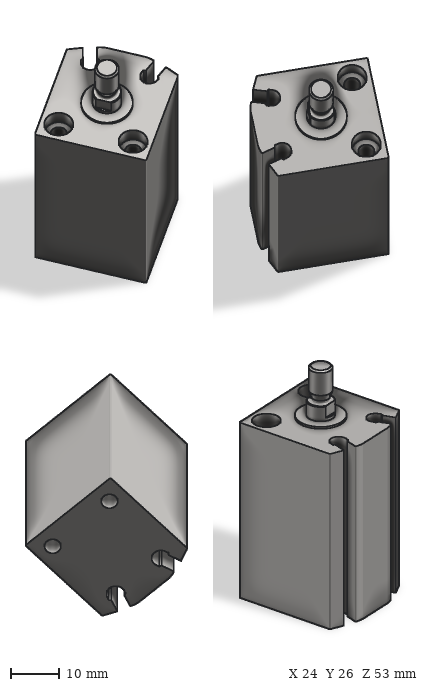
import cadquery as cq
import math

total_height = 53.0
width = 24.0
depth = 26.0
housing_height = 41.0
half_width = width / 2
front_y = -half_width
back_y = front_y + depth

front_corner_radius = 0.3
back_flat_half_width = 4.25
back_arc_end = (6.35, 13.45)
back_arc_sag = 0.1
shoulder_inner = (8.9, 12.65)
shoulder_outer_y = 11.3
shoulder_corner_radius = 0.35

collar_diameter = 10.7
collar_height = 0.5

hole_diameter = 3.4
counterbore_diameter = 6.0
counterbore_depth = 3.2
hole_offset = 8.0

slot_center = (6.35, 9.35)
slot_tilt = 17.8
slot_width = 3.8
slot_mouth_width = 2.9
slot_straight = 0.7
slot_bevel = 0.3
slot_length = 7.4
slot_lip = (6.1, 13.4)
slot_lip_radius = 0.25

rod_diameter = 6.0
rod_bottom = housing_height + collar_height
rod_shoulder_top = 45.0
rod_shoulder_chamfer = 0.15
across_flats = 5.0
flats_bottom = 42.25
neck_diameter = 3.8
neck_flare = 0.3
neck_top = 45.75
tip_diameter = 5.0
tip_top_diameter = 4.15
tip_bottom = 47.3
tip_chamfer = (tip_diameter - tip_top_diameter) / 2


def housing_blank():
    """Prism with a raised back, sloped back shoulders and a round collar on top."""
    arc_end_x, arc_end_y = back_arc_end
    arc_mid_x = (back_flat_half_width + arc_end_x) / 2
    arc_mid_y = (back_y + arc_end_y) / 2 + back_arc_sag
    inner_x, inner_y = shoulder_inner
    blank = (
        cq.Workplane("XY")
        .moveTo(-half_width, front_y)
        .lineTo(half_width, front_y)
        .lineTo(half_width, shoulder_outer_y)
        .lineTo(inner_x, inner_y)
        .lineTo(arc_end_x, arc_end_y)
        .threePointArc((arc_mid_x, arc_mid_y), (back_flat_half_width, back_y))
        .lineTo(-back_flat_half_width, back_y)
        .threePointArc((-arc_mid_x, arc_mid_y), (-arc_end_x, arc_end_y))
        .lineTo(-inner_x, inner_y)
        .lineTo(-half_width, shoulder_outer_y)
        .close()
        .extrude(housing_height)
    )
    blank = blank.edges("|Z and <Y").fillet(front_corner_radius)
    blank = blank.edges("|Z and (<X or >X)").edges(">Y").fillet(shoulder_corner_radius)
    collar = (
        cq.Workplane("XY")
        .workplane(offset=housing_height)
        .circle(collar_diameter / 2)
        .extrude(collar_height)
    )
    return blank.union(collar)


def sensor_slot(side):
    """Full-height slot cutter; side is 1 for +X and -1 for -X."""
    radius = slot_width / 2
    mouth = slot_mouth_width / 2
    mouth_start = slot_straight + slot_bevel
    x, y = slot_center
    return (
        cq.Workplane("XY")
        .moveTo(-radius, 0)
        .threePointArc((0, -radius), (radius, 0))
        .lineTo(radius, slot_straight)
        .lineTo(mouth, mouth_start)
        .lineTo(mouth, slot_length)
        .lineTo(-mouth, slot_length)
        .lineTo(-mouth, mouth_start)
        .lineTo(-radius, slot_straight)
        .close()
        .extrude(housing_height)
        .rotate((0, 0, 0), (0, 0, 1), -side * slot_tilt)
        .translate((side * x, y, 0))
    )


def make_housing():
    """Housing with two slots, rounded inner slot lips and two mounting holes."""
    lip_x, lip_y = slot_lip
    body = housing_blank()
    for side in (-1, 1):
        body = body.cut(sensor_slot(side))
        lip = cq.NearestToPointSelector((side * lip_x, lip_y, housing_height / 2))
        body = body.edges("|Z").edges(lip).fillet(slot_lip_radius)
    return (
        body.faces(">Z[-2]")
        .workplane(origin=(0, 0, housing_height))
        .pushPoints([(-hole_offset, -hole_offset), (hole_offset, -hole_offset)])
        .cboreHole(hole_diameter, counterbore_diameter, counterbore_depth)
    )


def make_rod():
    """Turned rod with a flared neck, and two wrench flats facing -Y and +Y."""
    radius = rod_diameter / 2
    neck = neck_diameter / 2
    tip = tip_diameter / 2
    flare_mid = neck_flare * (1 - math.sqrt(0.5))
    rod = (
        cq.Workplane("XZ")
        .moveTo(0, rod_bottom)
        .lineTo(radius, rod_bottom)
        .lineTo(radius, rod_shoulder_top - rod_shoulder_chamfer)
        .lineTo(radius - rod_shoulder_chamfer, rod_shoulder_top)
        .lineTo(neck + neck_flare, rod_shoulder_top)
        .threePointArc(
            (neck + flare_mid, rod_shoulder_top + flare_mid),
            (neck, rod_shoulder_top + neck_flare),
        )
        .lineTo(neck, neck_top)
        .lineTo(tip, tip_bottom)
        .lineTo(tip, total_height - tip_chamfer)
        .lineTo(tip_top_diameter / 2, total_height)
        .lineTo(0, total_height)
        .close()
        .revolve(360, (0, 0, 0), (0, 1, 0))
    )
    flats_height = rod_shoulder_top - flats_bottom
    for side in (-1, 1):
        flat = (
            cq.Workplane("XY")
            .box(rod_diameter, rod_diameter, flats_height, centered=(True, True, False))
            .translate((0, side * (across_flats + rod_diameter) / 2, flats_bottom))
        )
        rod = rod.cut(flat)
    return rod


housing = make_housing()
rod = make_rod()
result = cq.Compound.makeCompound([housing.val(), rod.val()])